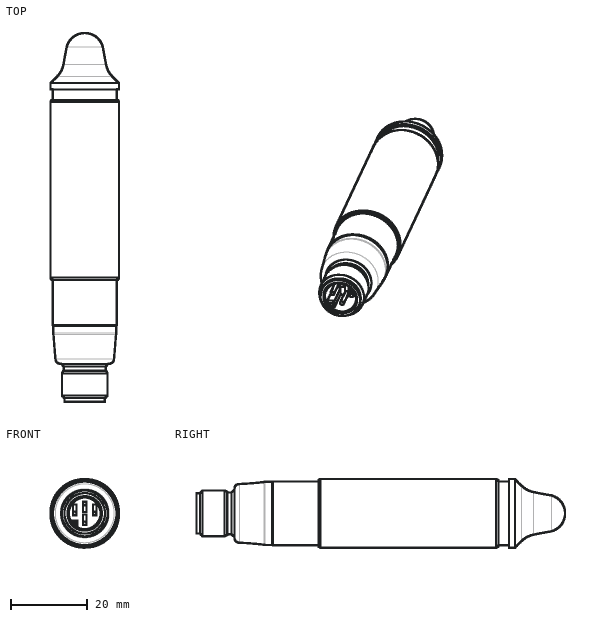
import cadquery as cq
import math

LENGTH = 96.45

PLUG_RADIUS = 12.0 / 2
PLUG_TIP_RADIUS = 10.6 / 2
PLUG_TIP_LENGTH = 0.95
PLUG_SHOULDER = PLUG_RADIUS - PLUG_TIP_RADIUS
PLUG_END = 8.0
PLUG_END_CHAMFER_DEPTH = 0.3
PLUG_END_CHAMFER_LENGTH = 0.6
NECK_RADIUS = 11.0 / 2
NECK_START = 8.2
NECK_END = 9.2
NECK_BASE_RADIUS = 6.15

GRIP_START = 9.95
GRIP_FILLET = 1.3
GRIP_FRONT_RADIUS = 7.7
GRIP_END_RADIUS = 8.22
GRIP_END = 17.65
BAND_RADIUS = 16.6 / 2
BAND_BEVEL = 0.3
BAND_END = 19.8

SLEEVE_RADIUS = 16.8 / 2
SLEEVE_END = 31.9
BODY_RADIUS = 18.0 / 2
BODY_END = 78.95
BODY_CHAMFER_DEPTH = 0.3
BODY_CHAMFER_LENGTH = 0.6
GROOVE_END = 81.7
FLANGE_END = 83.3

FLARE_END = 88.2
NOSE_CONE_BASE_RADIUS = 5.6
NOSE_CONE_TIP_RADIUS = 4.75
NOSE_CONE_END = 92.8

BORE_RADIUS = 4.15
BORE_CHAMFER = 0.35
BORE_DEPTH = 9.0

PIN_RADIUS = 1.0 / 2
PIN_CIRCLE_RADIUS = 2.6
PIN_TIP_DEPTH = 2.1
PAD_WIDTH = 2 * PIN_RADIUS
PAD_LENGTH = 2.8
PAD_HEIGHT = 1.0

KEY_CORNER = 1.85
KEY_FRONT_DEPTH = 1.0
KEY_CHAMFER = 0.5


def flare_start_point():
    """Point (radius, station) where the 45 degree flange cone meets the concave flare.

    The flare is an arc tangent to both the flange cone and the nose cone, so its two ends lie
    equally far from the corner where those cones would meet.
    """
    slope = (NOSE_CONE_BASE_RADIUS - NOSE_CONE_TIP_RADIUS) / (NOSE_CONE_END - FLARE_END)
    radius_gap = BODY_RADIUS - NOSE_CONE_BASE_RADIUS
    corner_drop = (FLARE_END - FLANGE_END - radius_gap) / (1 - slope)
    tangent_length = corner_drop * math.hypot(1, slope)
    step = tangent_length * math.sqrt(0.5)
    corner = (NOSE_CONE_BASE_RADIUS + slope * corner_drop, FLARE_END - corner_drop)
    return (corner[0] + step, corner[1] - step)


def make_body():
    """Revolve the outer profile, drawn as (radius, station), about the Y axis."""
    cone_end = (NOSE_CONE_TIP_RADIUS, NOSE_CONE_END)
    dome_height = LENGTH - NOSE_CONE_END
    dome_radius = (NOSE_CONE_TIP_RADIUS**2 + dome_height**2) / (2 * dome_height)
    dome_half_angle = math.asin(NOSE_CONE_TIP_RADIUS / dome_radius) / 2
    dome_middle = (
        dome_radius * math.sin(dome_half_angle),
        LENGTH - dome_radius * (1 - math.cos(dome_half_angle)),
    )

    fillet_center = (GRIP_FRONT_RADIUS - GRIP_FILLET, GRIP_START + GRIP_FILLET)
    fillet_offset = GRIP_FILLET * math.sqrt(0.5)
    fillet_middle = (fillet_center[0] + fillet_offset, fillet_center[1] - fillet_offset)

    profile = (
        cq.Workplane("XY")
        .lineTo(PLUG_TIP_RADIUS, 0)
        .lineTo(PLUG_TIP_RADIUS, PLUG_TIP_LENGTH)
        .lineTo(PLUG_RADIUS, PLUG_TIP_LENGTH + PLUG_SHOULDER)
        .lineTo(PLUG_RADIUS, PLUG_END - PLUG_END_CHAMFER_LENGTH)
        .lineTo(PLUG_RADIUS - PLUG_END_CHAMFER_DEPTH, PLUG_END)
        .lineTo(NECK_RADIUS, NECK_START)
        .lineTo(NECK_RADIUS, NECK_END)
        .lineTo(NECK_BASE_RADIUS, GRIP_START)
        .lineTo(fillet_center[0], GRIP_START)
        .threePointArc(fillet_middle, (GRIP_FRONT_RADIUS, fillet_center[1]))
        .lineTo(GRIP_END_RADIUS, GRIP_END)
        .lineTo(BAND_RADIUS, GRIP_END + BAND_BEVEL)
        .lineTo(BAND_RADIUS, BAND_END)
        .lineTo(SLEEVE_RADIUS, BAND_END + BAND_BEVEL)
        .lineTo(SLEEVE_RADIUS, SLEEVE_END)
        .lineTo(BODY_RADIUS - BODY_CHAMFER_DEPTH, SLEEVE_END)
        .lineTo(BODY_RADIUS, SLEEVE_END + BODY_CHAMFER_LENGTH)
        .lineTo(BODY_RADIUS, BODY_END - BODY_CHAMFER_LENGTH)
        .lineTo(BODY_RADIUS - BODY_CHAMFER_DEPTH, BODY_END)
        .lineTo(SLEEVE_RADIUS, BODY_END)
        .lineTo(SLEEVE_RADIUS, GROOVE_END)
        .lineTo(BODY_RADIUS, GROOVE_END)
        .lineTo(BODY_RADIUS, FLANGE_END)
        .lineTo(*flare_start_point())
        .tangentArcPoint((NOSE_CONE_BASE_RADIUS, FLARE_END), relative=False)
        .lineTo(*cone_end)
        .threePointArc(dome_middle, (0, LENGTH))
        .close()
    )
    return profile.revolve(360, (0, 0, 0), (0, 1, 0))


def make_bore():
    """Socket cavity with a chamfered mouth."""
    return (
        cq.Workplane("XY")
        .lineTo(BORE_RADIUS + BORE_CHAMFER, 0)
        .lineTo(BORE_RADIUS, BORE_CHAMFER)
        .lineTo(BORE_RADIUS, BORE_DEPTH)
        .lineTo(0, BORE_DEPTH)
        .close()
        .revolve(360, (0, 0, 0), (0, 1, 0))
    )


def block(x_range, y_range, z_range):
    """Axis-aligned box between the given limits."""
    sizes = [high - low for low, high in (x_range, y_range, z_range)]
    corner = (x_range[0], y_range[0], z_range[0])
    return cq.Workplane("XY").box(*sizes, centered=False).translate(corner)


def make_key():
    """Coding key in the -X, -Z corner, with beveled front edges, running back to the floor."""
    outer = -(PLUG_TIP_RADIUS + BORE_RADIUS) / 2
    corner = block((outer, -KEY_CORNER), (KEY_FRONT_DEPTH, BORE_DEPTH), (outer, -KEY_CORNER))
    beveled = corner.faces("<Y").edges(">X or >Z").chamfer(KEY_CHAMFER)
    return beveled.intersect(make_bore())


def make_contact(x, z, pad_direction):
    """Round pin on a rectangular pad that extends from the pin along Z."""
    pin = (
        cq.Workplane("XZ", origin=(x, BORE_DEPTH, z))
        .circle(PIN_RADIUS)
        .extrude(BORE_DEPTH - PIN_TIP_DEPTH)
    )
    pad_ends = sorted((
        z - pad_direction * PIN_RADIUS,
        z + pad_direction * (PAD_LENGTH - PIN_RADIUS),
    ))
    pad = block(
        (x - PAD_WIDTH / 2, x + PAD_WIDTH / 2),
        (BORE_DEPTH - PAD_HEIGHT, BORE_DEPTH),
        pad_ends,
    )
    return pin.union(pad)


CONTACTS = (
    (PIN_CIRCLE_RADIUS, 0, 1),
    (-PIN_CIRCLE_RADIUS, 0, 1),
    (0, PIN_CIRCLE_RADIUS, -1),
    (0, -PIN_CIRCLE_RADIUS, 1),
)

result = make_body().cut(make_bore()).union(make_key())
for x, z, pad_direction in CONTACTS:
    result = result.union(make_contact(x, z, pad_direction))